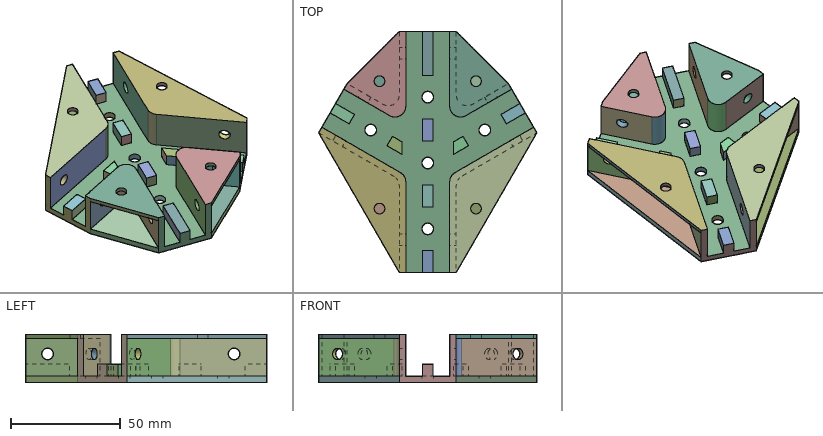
import cadquery as cq
import math

height = 22.0
overall_length = 110.0
floor_thickness = 3.0
roof_thickness = 2.0
roof_underside = height - roof_thickness

long_arm_extra = 10.0
arm_length = (overall_length - long_arm_extra) / 2
long_arm_length = arm_length + long_arm_extra
channel_width = 20.0
wall_thickness = 3.0
arm_half_width = channel_width / 2 + wall_thickness
corner_radius = 5.0

right_angle, up_angle, left_angle, down_angle = 30, 90, 150, 270

bolt_diameter = 5.2
floor_bolt_reach = 30.0
wall_bolt_height = 13.1
wall_bolt_end_distance = 10.0
down_wall_bolt_end_distance = 15.0
roof_hole_diameter = 4.8
roof_hole_x = 22.0
roof_hole_upper_y = 37.3
roof_hole_lower_y = -20.8

lug_width = 5.0
lug_height = 5.5
lug_top = floor_thickness + lug_height
lug_length = 10.0
long_lug_length = 2 * lug_length
inner_lug_start = 10.0
side_lug_min_x = 11.7

clearance = 1.1
wedge_reach = 2 * long_arm_length

arms = [
    (right_angle, arm_length, wall_bolt_end_distance, lug_length),
    (up_angle, long_arm_length, wall_bolt_end_distance, long_lug_length),
    (left_angle, arm_length, wall_bolt_end_distance, lug_length),
    (down_angle, arm_length, down_wall_bolt_end_distance, lug_length),
]


def arm_point(angle, along, across):
    """Point at a distance along an arm and a distance to the left of its centre line."""
    turn = math.radians(angle)
    return (
        along * math.cos(turn) - across * math.sin(turn),
        along * math.sin(turn) + across * math.cos(turn),
    )


def turn_to_arm(shape, angle):
    """Turn a shape built along +X about the Z axis onto an arm."""
    return shape.rotate((0, 0, 0), (0, 0, 1), angle)


def body(thickness):
    """Plate whose outline joins the end corners of all four arms."""
    corners = []
    for angle, length, _, _ in arms:
        corners.append(arm_point(angle, length, -arm_half_width))
        corners.append(arm_point(angle, length, arm_half_width))
    return cq.Workplane("XY").polyline(corners).close().extrude(thickness)


def wedge(first_angle, second_angle, offset, top):
    """Wedge standing on the floor between two arms, its sides offset from their centre lines."""
    half_opening = math.radians(second_angle - first_angle) / 2
    apex = arm_point(first_angle, offset / math.tan(half_opening), offset)
    first_end = arm_point(first_angle, wedge_reach, offset)
    second_end = arm_point(second_angle, wedge_reach, -offset)
    floor = cq.Workplane("XY").workplane(offset=floor_thickness)
    solid = floor.polyline([apex, first_end, second_end]).close().extrude(top - floor_thickness)
    apex_edge = cq.selectors.NearestToPointSelector((*apex, (floor_thickness + top) / 2))
    return solid.edges("|Z").edges(apex_edge).fillet(corner_radius)


def gusset(first_angle, second_angle):
    """Walls and roof between two arms, hollow below the roof and open outwards."""
    outside = wedge(first_angle, second_angle, channel_width / 2, height)
    pocket = wedge(first_angle, second_angle, arm_half_width, roof_underside)
    return body(height).intersect(outside).cut(pocket)


def lug(angle, start, length):
    """Lug rising from the channel floor, starting at a distance from the origin."""
    block = cq.Workplane("XY").box(length, lug_width, lug_top, centered=(False, True, False))
    return turn_to_arm(block.translate((start, 0, 0)), angle)


def inner_lug(angle):
    """Lug near the origin; on the side arms its inner end is cut parallel to the Y axis."""
    block = lug(angle, inner_lug_start, lug_length)
    if angle in (right_angle, left_angle):
        middle = cq.Workplane("XY").box(2 * side_lug_min_x, overall_length, 2 * height)
        block = block.cut(middle)
    return block


def vertical_hole(x, y, diameter, bottom, top):
    """Cutter for a hole along Z."""
    return cq.Workplane("XY").circle(diameter / 2).extrude(top - bottom).translate((x, y, bottom))


def floor_bolt_hole(x, y):
    """Cutter for a bolt hole through the floor."""
    return vertical_hole(x, y, bolt_diameter, 0, floor_thickness)


def wall_bolt_hole(angle, along):
    """Cutter for a bolt hole through both walls of an arm."""
    cutter = cq.Workplane("XZ").circle(bolt_diameter / 2).extrude(arm_half_width + clearance, both=True)
    return turn_to_arm(cutter.translate((along, 0, wall_bolt_height)), angle)


result = body(floor_thickness)
arm_angles = [arm[0] for arm in arms]
next_angles = arm_angles[1:] + [arm_angles[0] + 360]
for first_angle, second_angle in zip(arm_angles, next_angles):
    result = result.union(gusset(first_angle, second_angle))

result = result.cut(floor_bolt_hole(0, 0))
for angle, length, bolt_end_distance, end_lug_length in arms:
    result = result.union(inner_lug(angle))
    result = result.union(lug(angle, length - end_lug_length, end_lug_length))
    result = result.cut(floor_bolt_hole(*arm_point(angle, floor_bolt_reach, 0)))
    result = result.cut(wall_bolt_hole(angle, length - bolt_end_distance))

for x in (-roof_hole_x, roof_hole_x):
    for y in (roof_hole_lower_y, roof_hole_upper_y):
        result = result.cut(vertical_hole(x, y, roof_hole_diameter, roof_underside, height))